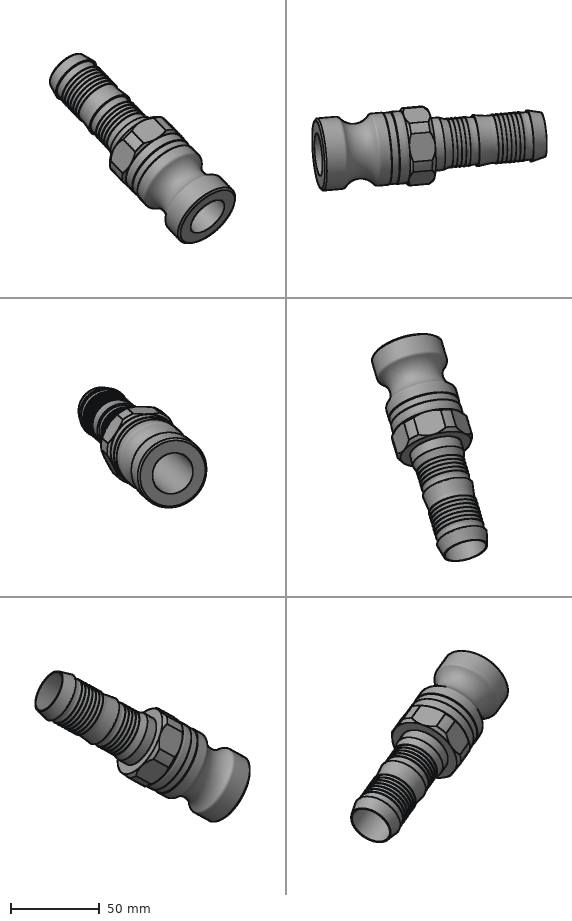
import cadquery as cq
import math

LENGTH = 128.6
BORE_RADIUS = 24.0 / 2

TIP_RADIUS = 25.3 / 2
CORE_RADIUS = 27.0 / 2
BARB_RADIUS = 29.2 / 2
TOOTH_RADIUS = 28.0 / 2
SHANK_RADIUS = 30.0 / 2
BARB_LENGTH = 7.8
BARB_GROUP_PITCH = 31.0
BARB_TO_TEETH = 3.1
TOOTH_LENGTH = 1.9
FIRST_GROUP_TEETH = 7
SECOND_GROUP_TEETH = 5
FIRST_ROW_SPAN = 15.0
TOOTH_PITCH = FIRST_ROW_SPAN / (FIRST_GROUP_TEETH - 1)
SHANK_CONE_START = 54.3
SHANK_START = 58.8

HEX_START = 65.1
HEX_END = 79.9
HEX_ACROSS_FLATS = 41.0
HEX_CORNER_RADIUS = 44.0 / 2
HEX_ROTATION = -4.0
HEX_REAR_CHAMFER = 2.3
HEX_FRONT_CHAMFER = 1.5

BODY_RADIUS = 41.0 / 2
RELIEF_RADIUS = 40.5 / 2
RELIEF_END = 81.8
BAND_START = 85.6
BAND_END = 90.5
BAND_BEVEL = 0.4
END_CHAMFER_LENGTH = 1.0
END_CHAMFER_DEPTH = 1.2

CAM_CENTER = 106.6
CAM_NECK_RADIUS = 31.2 / 2
CAM_ARC_RADIUS = 11.0
CAM_SHOULDER_RADIUS = 2.0


def tooth_points(start, count):
    """Profile of a row of small cones, each with a sharp step at its end."""
    points = []
    for index in range(count):
        tooth_start = start + index * TOOTH_PITCH
        tooth_end = tooth_start + TOOTH_LENGTH
        points.append((tooth_start, CORE_RADIUS))
        points.append((tooth_end, TOOTH_RADIUS))
        points.append((tooth_end, CORE_RADIUS))
    return points


def make_tail():
    first_teeth = BARB_LENGTH + BARB_TO_TEETH
    second_barb_end = BARB_LENGTH + BARB_GROUP_PITCH
    points = [(0, 0), (0, TIP_RADIUS), (BARB_LENGTH, BARB_RADIUS), (BARB_LENGTH, CORE_RADIUS)]
    points += tooth_points(first_teeth, FIRST_GROUP_TEETH)
    points += [
        (BARB_GROUP_PITCH, CORE_RADIUS),
        (second_barb_end, BARB_RADIUS),
        (second_barb_end, CORE_RADIUS),
    ]
    points += tooth_points(first_teeth + BARB_GROUP_PITCH, SECOND_GROUP_TEETH)
    points += [
        (SHANK_CONE_START, CORE_RADIUS),
        (SHANK_START, SHANK_RADIUS),
        (HEX_END, SHANK_RADIUS),
        (HEX_END, 0),
    ]
    return revolve(cq.Workplane("XY").polyline(points))


def revolve(outline):
    return outline.close().revolve(360, (0, 0, 0), (1, 0, 0))


def make_hex():
    flat_radius = HEX_ACROSS_FLATS / 2
    prism = (
        cq.Workplane("YZ", origin=(HEX_START, 0, 0))
        .polygon(6, HEX_ACROSS_FLATS / math.cos(math.pi / 6))
        .extrude(HEX_END - HEX_START)
        .rotate((0, 0, 0), (1, 0, 0), HEX_ROTATION)
    )
    envelope = revolve(cq.Workplane("XY").polyline([
        (HEX_START, 0),
        (HEX_START, flat_radius),
        (HEX_START + HEX_REAR_CHAMFER, HEX_CORNER_RADIUS),
        (HEX_END - HEX_FRONT_CHAMFER, HEX_CORNER_RADIUS),
        (HEX_END, flat_radius),
        (HEX_END, 0),
    ]))
    return prism.intersect(envelope)


def make_plug():
    arc_center_radius = CAM_NECK_RADIUS + CAM_ARC_RADIUS
    shoulder_center_radius = BODY_RADIUS - CAM_SHOULDER_RADIUS
    center_distance = CAM_ARC_RADIUS + CAM_SHOULDER_RADIUS
    slope = math.acos((arc_center_radius - shoulder_center_radius) / center_distance)
    shoulder_offset = center_distance * math.sin(slope)
    tangent_offset = CAM_ARC_RADIUS * math.sin(slope)
    tangent_radius = arc_center_radius - CAM_ARC_RADIUS * math.cos(slope)
    middle_offset = shoulder_offset - CAM_SHOULDER_RADIUS * math.sin(slope / 2)
    middle_radius = shoulder_center_radius + CAM_SHOULDER_RADIUS * math.cos(slope / 2)

    outline = (
        cq.Workplane("XY")
        .moveTo(HEX_END, 0)
        .lineTo(HEX_END, RELIEF_RADIUS)
        .lineTo(RELIEF_END, BODY_RADIUS)
        .lineTo(BAND_START, BODY_RADIUS)
        .lineTo(BAND_START + BAND_BEVEL, RELIEF_RADIUS)
        .lineTo(BAND_END - BAND_BEVEL, RELIEF_RADIUS)
        .lineTo(BAND_END, BODY_RADIUS)
        .lineTo(CAM_CENTER - shoulder_offset, BODY_RADIUS)
        .threePointArc((CAM_CENTER - middle_offset, middle_radius),
                       (CAM_CENTER - tangent_offset, tangent_radius))
        .threePointArc((CAM_CENTER, CAM_NECK_RADIUS),
                       (CAM_CENTER + tangent_offset, tangent_radius))
        .threePointArc((CAM_CENTER + middle_offset, middle_radius),
                       (CAM_CENTER + shoulder_offset, BODY_RADIUS))
        .lineTo(LENGTH - END_CHAMFER_LENGTH, BODY_RADIUS)
        .lineTo(LENGTH, BODY_RADIUS - END_CHAMFER_DEPTH)
        .lineTo(LENGTH, 0)
    )
    return revolve(outline)


bore = cq.Workplane("YZ").circle(BORE_RADIUS).extrude(LENGTH)
result = make_tail().union(make_hex()).union(make_plug()).cut(bore)